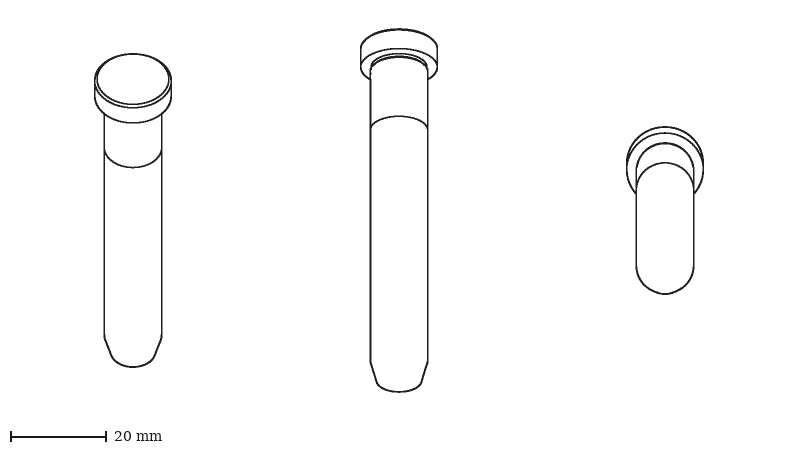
import cadquery as cq
import math

total_length = 80.0
head_diameter = 16.0
head_thickness = 5.0
head_chamfer = 0.5
shank_diameter = 12.0

upper_length = 20.0

groove_width = 1.0
groove_floor_height = 0.5
groove_depth = 0.5
groove_top_depth = 0.2

taper_length = 5.0
taper_angle = 15.0
tip_fillet = 0.5

head_radius = head_diameter / 2
shank_radius = shank_diameter / 2
joint_z = total_length - upper_length
head_bottom_z = total_length - head_thickness
groove_bottom_z = head_bottom_z - groove_width
groove_floor_z = groove_bottom_z + groove_floor_height
tip_radius = shank_radius - taper_length * math.tan(math.radians(taper_angle))


def revolve_profile(points):
    """Turn a closed (radius, z) outline about the Z axis."""
    return cq.Workplane("XZ").polyline(points).close().revolve(360, (0, 0), (0, 1))


def make_upper_body():
    """Chamfered head, relief groove and the upper part of the shank."""
    body = revolve_profile([
        (0, joint_z),
        (shank_radius, joint_z),
        (shank_radius, groove_bottom_z),
        (shank_radius - groove_depth, groove_floor_z),
        (shank_radius - groove_top_depth, head_bottom_z),
        (head_radius, head_bottom_z),
        (head_radius, total_length),
        (0, total_length),
    ])
    return body.faces(">Z").edges().chamfer(head_chamfer)


def make_lower_body():
    """Plain cylinder with a tapered, rounded tip."""
    body = revolve_profile([
        (0, 0),
        (tip_radius, 0),
        (shank_radius, taper_length),
        (shank_radius, joint_z),
        (0, joint_z),
    ])
    return body.faces("<Z").edges().fillet(tip_fillet)


upper_body = make_upper_body()
lower_body = make_lower_body()

result = cq.Compound.makeCompound([upper_body.val(), lower_body.val()])